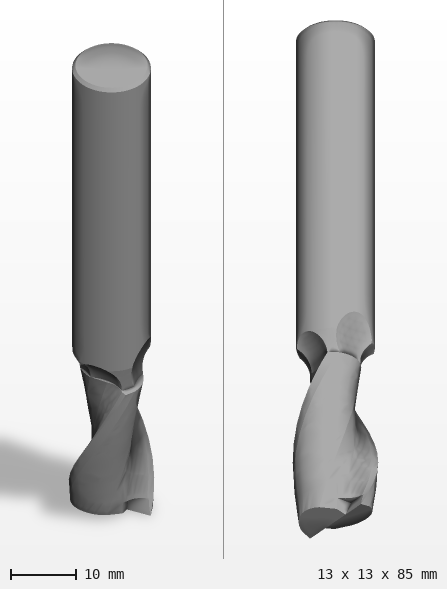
import cadquery as cq
import math

total_length = 85.0
shank_diameter = 12.0
shank_chamfer = 0.5
cutting_diameter = 13.0
cutter_length = 26.1
helix_angle = 30.0

land_back = (6.1, 1.6)
back_middle = (3.65, 3.9)
back_end = (-0.4, 3.65)
heel_edge = (-2.6, 1.6)
flute_floor = (-4.1, 0.5)
rake_edge = (-5.6, 0.25)

end_relief_angle = 14.0
gash_height = 2.4
gash_width = 2.0
gash_undercut = 1.0
gash_start = 2.55

neck_radius = 5.3
neck_height = 4.5
flute_ball = (5.4, 2.55, 268.0, 0.0)
bridge_ball = (5.1, 3.6, 225.0, 0.0)
heel_ball = (8.5, 4.2, 178.0, 2.55)

shank_radius = shank_diameter / 2
cutting_radius = cutting_diameter / 2
twist = math.degrees(cutter_length * math.tan(math.radians(helix_angle)) / cutting_radius)


def opposite(point):
    """Return the point turned by half a turn about the tool axis."""
    return (-point[0], -point[1])


def tooth_section():
    """Closed outline of the two-tooth section."""
    tip = (cutting_radius, 0)
    outline = cq.Workplane("XY").moveTo(*tip)
    for place in (lambda point: point, opposite):
        outline = (
            outline.lineTo(*place(land_back))
            .threePointArc(place(back_middle), place(back_end))
            .lineTo(*place(heel_edge))
            .threePointArc(place(flute_floor), place(rake_edge))
            .lineTo(*place(opposite(tip)))
        )
    return outline.close()


def end_relief():
    """Two wedges below the tip that leave a straight ridge along X."""
    rise = cutting_radius * math.tan(math.radians(end_relief_angle))
    return (
        cq.Workplane("YZ")
        .polyline([(0, 0), (cutting_radius, 0), (cutting_radius, rise)]).close()
        .polyline([(0, 0), (-cutting_radius, 0), (-cutting_radius, rise)]).close()
        .extrude(cutting_radius, both=True)
    )


def end_gash():
    """Notch with a slanted face in front of the end edge of the -X tooth."""
    return (
        cq.Workplane("YZ", origin=(-gash_start, 0, 0))
        .polyline([(0, 0), (gash_width, 0), (gash_width, gash_height), (-gash_undercut, gash_height)])
        .close()
        .extrude(gash_start - cutting_radius)
    )


def make_cutter():
    cutter = tooth_section().twistExtrude(cutter_length, twist).cut(end_relief())
    for turn in (0, 180):
        cutter = cutter.cut(end_gash().rotate((0, 0, 0), (0, 0, 1), turn))
    return cutter


def runout_ball(radius, floor, direction, height):
    """Ball beside the tool axis with its inner side at the floor distance from the axis."""
    ball = cq.Workplane("XY").sphere(radius).translate((floor + radius, 0, cutter_length + height))
    return ball.rotate((0, 0, 0), (0, 0, 1), direction)


def make_shank():
    neck_top = cutter_length + neck_height
    shank = (
        cq.Workplane("XZ")
        .moveTo(0, cutter_length)
        .lineTo(neck_radius, cutter_length)
        .lineTo(shank_radius, neck_top)
        .lineTo(shank_radius, total_length - shank_chamfer)
        .lineTo(shank_radius - shank_chamfer, total_length)
        .lineTo(0, total_length)
        .close()
        .revolve(360, (0, 0, 0), (0, 1, 0))
    )
    for turn in (0, 180):
        for radius, floor, direction, height in (flute_ball, bridge_ball, heel_ball):
            shank = shank.cut(runout_ball(radius, floor, direction + turn, height))
    return shank


cutter = make_cutter()
shank = make_shank()
result = cq.Compound.makeCompound([cutter.solids().val(), shank.solids().val()])